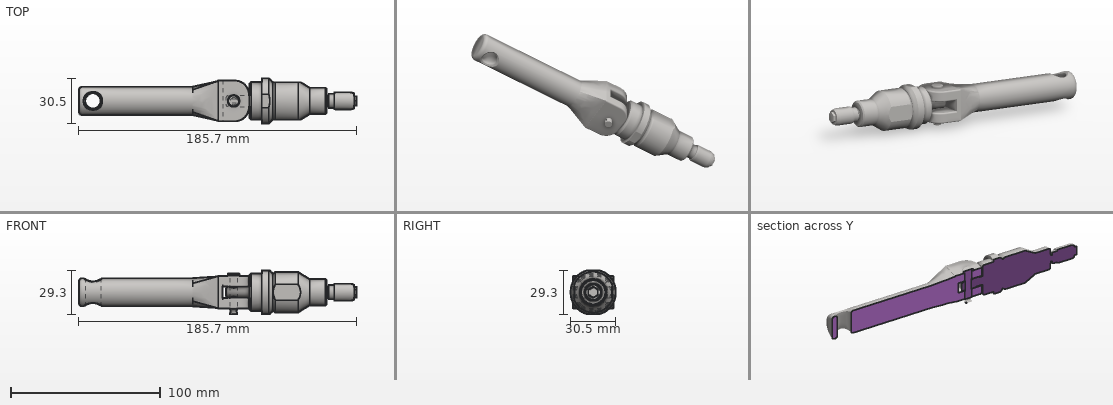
import cadquery as cq
import math


overall_length = 185.74

grip_end_x = -103.5
grip_dia = 19.05
grip_end_fillet = 2.38
hang_hole_dia = 10.16
hang_hole_x = -94.1
hang_hole_chamfer = 1.27
taper_start_x = -27.4
block_start_x = -10.2
block_width = 27.4
block_height = 22.0
lug_end_x = 10.3
lug_corner_radius = 9.525
lug_edge_fillet = 1.016
slot_floor_x = -7.3
slot_height = 7.62

pin_dia = 4.88
pin_hole_dia = 4.9
pin_bottom_z = -14.77
pin_head_dia = 7.95
pin_head_height = 1.57
pin_head_chamfer = 0.4
cotter_hole_dia = 2.64
cotter_hole_z = -12.6

tang_end_x = -5.2
tang_dia = 7.49
tang_end_fillet = 1.7
barrel_start_x = 10.6
barrel_radius = 12.7
barrel_chamfer = 1.27
collar_start_x = 18.9
collar_radius = 15.24
collar_rim_end_x = 23.5
collar_cone_end_x = collar_rim_end_x + collar_radius - barrel_radius
collar_flat_distance = 14.57

body_start_radius = 12.3
body_radius = 13.63
body_full_x = 27.9
body_end_x = 43.1
body_flat_distance = 12.6
nose_start_x = 50.8
nose_end_x = 62.2
nose_radius = 17.78 / 2
nose_chamfer = 0.9

boss_end_x = 62.75
boss_radius = 7.87 / 2
neck_end_x = 63.6
neck_radius = 5.54 / 2
shoulder_end_x = 67.2
shoulder_radius = 9.7 / 2
tip_lead_end_x = 68.4
tip_relief_start_x = 78.1
tip_relief_end_x = 79.2
tip_end_x = 80.6
tip_radius = 11.68 / 2
tip_edge_radius = 11.23 / 2
tip_end_radius = 10.16 / 2
hex_across_flats = 6.35
hex_end_x = grip_end_x + overall_length


def rod_along_x(start_x, end_x, diameter):
    return cq.Workplane("YZ").workplane(offset=start_x).circle(diameter / 2).extrude(end_x - start_x)


def box_from(start_x, end_x, width, height):
    """Box between two X stations, centred on the X axis."""
    box = cq.Workplane("XY").box(end_x - start_x, width, height, centered=(False, True, True))
    return box.translate((start_x, 0, 0))


def hole_along_z(x, diameter):
    """Cutter for a round hole right through the block or the grip."""
    return cq.Workplane("XY").center(x, 0).circle(diameter / 2).extrude(block_height, both=True)


def turned(profile):
    """Solid of revolution about X from (x, radius) points."""
    return cq.Workplane("XY").polyline(profile).close().revolve(360, (0, 0, 0), (1, 0, 0))


def make_grip():
    grip = rod_along_x(grip_end_x, taper_start_x, grip_dia)
    grip = grip.faces("<X").edges().fillet(grip_end_fillet)
    grip = grip.cut(hole_along_z(hang_hole_x, hang_hole_dia))
    hole_radius = hang_hole_dia / 2
    grip_radius = grip_dia / 2
    for side in (1, -1):
        rim = cq.selectors.BoxSelector(
            (hang_hole_x - hole_radius / 2, -hole_radius, side * grip_radius / 2),
            (hang_hole_x + hole_radius / 2, hole_radius, side * grip_radius),
        )
        grip = grip.edges(rim).chamfer(hang_hole_chamfer)
    return grip


def make_taper():
    """Ruled transition from the round grip to the block, one face for each side of the block."""
    corner_inset = lug_edge_fillet * (1 - math.sqrt(0.5))
    half_width = block_width / 2 - corner_inset
    half_height = block_height / 2 - corner_inset
    corners = [
        (half_width, half_height),
        (-half_width, half_height),
        (-half_width, -half_height),
        (half_width, -half_height),
    ]
    radius = grip_dia / 2
    to_circle = radius / math.hypot(half_width, half_height)
    arc_ends = [(y * to_circle, z * to_circle) for y, z in corners]
    arc_middles = [(0, radius), (-radius, 0), (0, -radius), (radius, 0)]

    round_end = cq.Workplane("YZ").workplane(offset=taper_start_x).moveTo(*arc_ends[0])
    for middle, end in zip(arc_middles, arc_ends[1:] + arc_ends[:1]):
        round_end = round_end.threePointArc(middle, end)
    round_wire = round_end.close().val()
    block_wire = cq.Workplane("YZ").workplane(offset=block_start_x).polyline(corners).close().val()
    return cq.Workplane(cq.Solid.makeLoft([round_wire, block_wire], True))


def make_fork():
    fork = box_from(block_start_x, lug_end_x, block_width, block_height)
    fork = fork.edges(">X and |Z").fillet(lug_corner_radius)
    fork = fork.faces("|Z").edges("not(<X)").fillet(lug_edge_fillet)
    fork = fork.cut(box_from(slot_floor_x, lug_end_x, block_width, slot_height))
    clearance = lug_edge_fillet / 2
    slot_edges = cq.selectors.BoxSelector(
        (slot_floor_x + clearance, -block_width, -slot_height / 2 - clearance),
        (lug_end_x + clearance, block_width, slot_height / 2 + clearance),
    )
    fork = fork.faces("|Z").edges(slot_edges).fillet(lug_edge_fillet)
    return fork.cut(hole_along_z(0, pin_hole_dia))


def make_handle():
    return make_grip().union(make_taper()).union(make_fork())


def make_pin():
    lug_top_z = block_height / 2
    shank = cq.Workplane("XY").workplane(offset=pin_bottom_z).circle(pin_dia / 2)
    shank = shank.extrude(lug_top_z - pin_bottom_z)
    pin_head = cq.Workplane("XY").workplane(offset=lug_top_z).circle(pin_head_dia / 2)
    pin_head = pin_head.extrude(pin_head_height).faces(">Z").chamfer(pin_head_chamfer)
    cotter_hole = rod_along_x(-pin_dia, pin_dia, cotter_hole_dia).translate((0, 0, cotter_hole_z))
    return shank.union(pin_head).cut(cotter_hole)


def make_tang():
    tang = rod_along_x(tang_end_x, barrel_start_x, tang_dia)
    tang = tang.faces("<X").edges().fillet(tang_end_fillet)
    return tang.cut(hole_along_z(0, pin_hole_dia))


def make_collar():
    """Barrel and collar, with a flat on the top and bottom of the collar."""
    collar = turned([
        (barrel_start_x, 0),
        (barrel_start_x, barrel_radius - barrel_chamfer),
        (barrel_start_x + barrel_chamfer, barrel_radius),
        (collar_start_x, barrel_radius),
        (collar_start_x, collar_radius),
        (collar_rim_end_x, collar_radius),
        (collar_cone_end_x, barrel_radius),
        (collar_cone_end_x, 0),
    ])
    return collar.intersect(
        box_from(barrel_start_x, collar_cone_end_x, 2 * collar_radius, 2 * collar_flat_distance)
    )


def make_body():
    """Coned body with a flat on each side."""
    body = turned([
        (collar_cone_end_x, 0),
        (collar_cone_end_x, body_start_radius),
        (body_full_x, body_radius),
        (body_end_x, body_radius),
        (nose_start_x, nose_radius),
        (nose_start_x, 0),
    ])
    return body.intersect(
        box_from(collar_cone_end_x, nose_start_x, 2 * body_flat_distance, 2 * body_radius)
    )


def make_nose_and_tip():
    return turned([
        (nose_start_x, 0),
        (nose_start_x, nose_radius),
        (nose_end_x - nose_chamfer, nose_radius),
        (nose_end_x, nose_radius - nose_chamfer),
        (nose_end_x, boss_radius),
        (boss_end_x, boss_radius),
        (boss_end_x, neck_radius),
        (neck_end_x, neck_radius),
        (neck_end_x, shoulder_radius),
        (shoulder_end_x, shoulder_radius),
        (shoulder_end_x, tip_edge_radius),
        (tip_lead_end_x, tip_radius),
        (tip_relief_start_x, tip_radius),
        (tip_relief_end_x, tip_edge_radius),
        (tip_end_x, tip_end_radius),
        (tip_end_x, 0),
    ])


def make_end_hexagon():
    hexagon = cq.Workplane("YZ").workplane(offset=tip_end_x)
    hexagon = hexagon.polygon(6, hex_across_flats, circumscribed=True)
    return hexagon.extrude(hex_end_x - tip_end_x)


def make_head():
    head = make_tang()
    for section in (make_collar(), make_body(), make_nose_and_tip(), make_end_hexagon()):
        head = head.union(section)
    return head


handle = make_handle()
pin = make_pin()
head = make_head()

result = cq.Compound.makeCompound([handle.val(), pin.val(), head.val()])